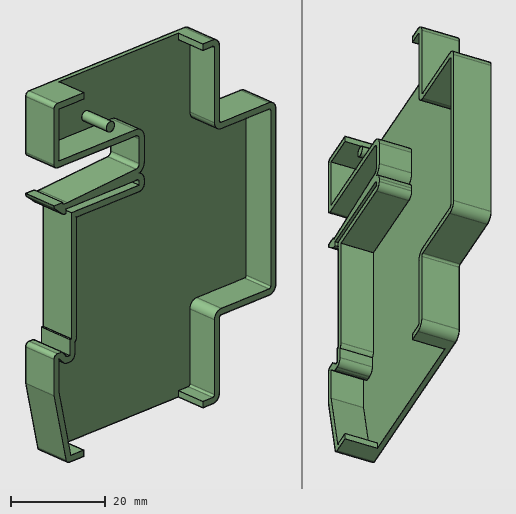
import cadquery as cq
import math

WIDTH = 8.7
DEPTH = 65.0
HEIGHT = 85.0
SIDE_WALL = 1.2
RIM_WALL = 1.5

BODY_DEPTH = 48.5
STEP_HEIGHT = 20.0
REAR_RADIUS = 2.0
STEP_ROOT_RADIUS = 0.5

EDGE_RADIUS = 1.0
SLOT_TOP = 69.9
SLOT_ROOT = 24.95
SLOT_BOTTOM = 62.2
RAIL_FACE = 5.1

TAB_SLOPE_END = 3.9
TAB_NECK_Y = 2.8
TAB_NECK_Z = 60.85
TAB_LIP_Y = 2.5
TAB_LIP_Z = 61.35
TAB_TIP_HEIGHT = 0.6
TAB_TIP_RADIUS = 0.8
TAB_HOOK_FRONT = 2.8
TAB_HOOK_BACK = 3.5
TAB_HOOK_Z = 58.4
GAP_TOP = 59.5
GAP_BOTTOM = 58.1
GAP_RADIUS = 0.6

LEDGE_Z = 28.65
GROOVE_BACK = 4.6
GROOVE_FRONT = 3.8
GROOVE_Z = 24.9
FOOT_CREST_Y = 2.3
FOOT_TOP = 26.5
FOOT_TAPER_TOP = 17.0
FOOT_TAPER_ANGLE = 12.3

OPENING_FRONT = 8.7
OPENING_REAR = 43.6

PIN_DIAMETER = 2.4
PIN_Y = 16.5
PIN_Z = 74.5

MATCH = 1e-6


def outline():
    """Side outline in the YZ plane as (y, z, corner radius)."""
    nose_bottom = STEP_HEIGHT
    nose_top = HEIGHT - STEP_HEIGHT
    foot_toe = FOOT_TAPER_TOP * math.tan(math.radians(FOOT_TAPER_ANGLE))
    return [
        (foot_toe, 0, EDGE_RADIUS),
        (BODY_DEPTH, 0, REAR_RADIUS),
        (BODY_DEPTH, nose_bottom, STEP_ROOT_RADIUS),
        (DEPTH, nose_bottom, REAR_RADIUS),
        (DEPTH, nose_top, REAR_RADIUS),
        (BODY_DEPTH, nose_top, STEP_ROOT_RADIUS),
        (BODY_DEPTH, HEIGHT, REAR_RADIUS),
        (0, HEIGHT, EDGE_RADIUS),
        (0, SLOT_TOP, EDGE_RADIUS),
        (SLOT_ROOT, SLOT_TOP, EDGE_RADIUS),
        (SLOT_ROOT, SLOT_BOTTOM, EDGE_RADIUS),
        (TAB_SLOPE_END, TAB_NECK_Z, 0),
        (TAB_NECK_Y, TAB_NECK_Z, 0),
        (TAB_LIP_Y, TAB_LIP_Z, 0),
        (0, TAB_LIP_Z, 0),
        (0, TAB_LIP_Z - TAB_TIP_HEIGHT, TAB_TIP_RADIUS),
        (TAB_HOOK_FRONT, TAB_HOOK_Z, 0),
        (TAB_HOOK_BACK, TAB_HOOK_Z, 0),
        (TAB_HOOK_BACK, GAP_TOP, 0),
        (SLOT_ROOT, GAP_TOP, GAP_RADIUS),
        (SLOT_ROOT, GAP_BOTTOM, 0),
        (RAIL_FACE, GAP_BOTTOM, 0),
        (RAIL_FACE, LEDGE_Z, 0),
        (GROOVE_BACK, LEDGE_Z, 0),
        (GROOVE_BACK, GROOVE_Z, 0),
        (GROOVE_FRONT, GROOVE_Z, 0),
        (FOOT_CREST_Y, FOOT_TOP, 0),
        (0, FOOT_TOP, EDGE_RADIUS),
        (0, FOOT_TAPER_TOP, 0),
    ]


def rounded_wire(corners):
    """Closed wire through the corners, each rounded by its own radius."""
    sharp = cq.Wire.makePolygon([cq.Vector(0, y, z) for y, z, _ in corners], close=True)
    face = cq.Face.makeFromWires(sharp)
    for radius in sorted({r for _, _, r in corners if r > 0}):
        targets = [cq.Vector(0, y, z) for y, z, r in corners if r == radius]
        picked = [v for v in face.Vertices() if any((v.Center() - t).Length < MATCH for t in targets)]
        face = face.fillet2D(radius, picked)
    return face.outerWire()


def extrude_along_x(wire, start, end):
    """Solid prism on a YZ wire, from X = start to X = end."""
    prism = cq.Solid.extrudeLinear(wire, [], cq.Vector(end - start, 0, 0))
    return prism.moved(cq.Location(cq.Vector(start, 0, 0)))


def make_rim_opening(bottom_z):
    """Cutter for the opening through the top or bottom rim."""
    return (
        cq.Workplane("XY", origin=(SIDE_WALL, OPENING_FRONT, bottom_z))
        .box(WIDTH - SIDE_WALL, OPENING_REAR - OPENING_FRONT, RIM_WALL, centered=False)
    )


def make_housing():
    """Tray with one closed side, a rim along the outline and two rim openings."""
    profile = rounded_wire(outline())
    body = cq.Workplane(obj=extrude_along_x(profile, 0, WIDTH))
    for inner in profile.offset2D(-RIM_WALL, "arc"):
        body = body.cut(cq.Workplane(obj=extrude_along_x(inner, SIDE_WALL, WIDTH)))
    for bottom_z in (0, HEIGHT - RIM_WALL):
        body = body.cut(make_rim_opening(bottom_z))
    return body


def make_pin():
    """Round pin from the side plate to the open side."""
    return (
        cq.Workplane("YZ", origin=(SIDE_WALL, PIN_Y, PIN_Z))
        .circle(PIN_DIAMETER / 2)
        .extrude(WIDTH - SIDE_WALL)
    )


housing = make_housing()
pin = make_pin()
result = cq.Compound.makeCompound([*housing.solids().vals(), pin.val()])